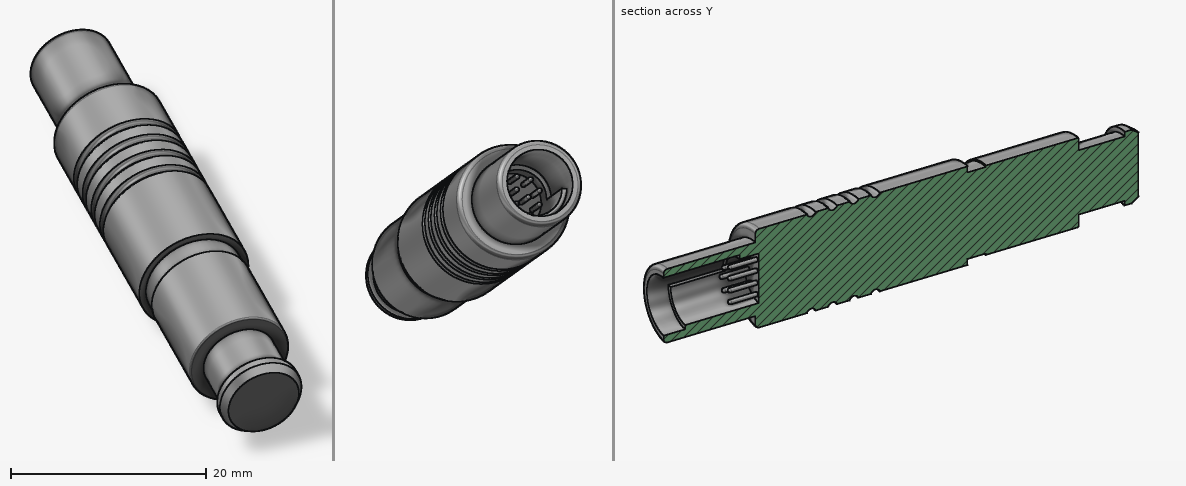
import cadquery as cq
import math

total_length = 56.0
shell_radius = 6.0

shell_start = 10.8
shell_end = 35.85
body_start = 37.95
body_end = 48.95
flange_start = 54.3

nose_radius = 4.5
neck_radius = 5.25
body_radius = 5.45
tail_radius = 3.9
flange_radius = 4.5
flange_end_radius = 3.85
flange_chamfer_length = 0.85
edge_round = 0.475
body_end_round = 0.15

groove_count = 4
groove_pitch = 2.5
first_groove_center = 17.4
groove_width = 1.0
groove_depth = 0.4

mouth_radius = 3.5
liner_radius = 2.95
lower_liner_start = 2.5
upper_liner_start = 8.95
socket_depth = 11.2

pin_radius = 0.25
pin_tip_round = 0.2
pin_length = 3.35
outer_pin_count = 9
outer_pin_circle = 2.1
outer_pin_angle = 180
inner_pin_count = 3
inner_pin_circle = 0.85
inner_pin_angle = 0

nose_x = -total_length / 2


def round_corner(profile, center_x, center_r, radius, start_angle):
    """Add a convex quarter arc that turns clockwise from start_angle (degrees)."""
    mid = math.radians(start_angle - 45)
    end = math.radians(start_angle - 90)
    return profile.threePointArc(
        (center_x + radius * math.cos(mid), center_r + radius * math.sin(mid)),
        (center_x + radius * math.cos(end), center_r + radius * math.sin(end)),
    )


def outer_body():
    """Revolve the stepped outside, grip grooves included, about the X axis."""
    profile = cq.Workplane("XY").moveTo(0, 0).lineTo(0, nose_radius - edge_round)
    profile = round_corner(profile, edge_round, nose_radius - edge_round, edge_round, 180)
    profile = profile.lineTo(shell_start, nose_radius).lineTo(shell_start, shell_radius - edge_round)
    profile = round_corner(profile, shell_start + edge_round, shell_radius - edge_round, edge_round, 180)
    for index in range(groove_count):
        center = first_groove_center + index * groove_pitch
        profile = profile.lineTo(center - groove_width / 2, shell_radius)
        profile = profile.threePointArc(
            (center, shell_radius - groove_depth),
            (center + groove_width / 2, shell_radius),
        )
    profile = profile.lineTo(shell_end, shell_radius).lineTo(shell_end, neck_radius)
    profile = profile.lineTo(body_start, neck_radius).lineTo(body_start, body_radius)
    profile = profile.lineTo(body_end - body_end_round, body_radius)
    profile = round_corner(
        profile, body_end - body_end_round, body_radius - body_end_round, body_end_round, 90
    )
    profile = profile.lineTo(body_end, tail_radius).lineTo(flange_start, tail_radius)
    profile = profile.lineTo(flange_start, flange_radius)
    profile = profile.lineTo(total_length - flange_chamfer_length, flange_radius)
    profile = profile.lineTo(total_length, flange_end_radius).lineTo(total_length, 0).close()
    return profile.revolve(360, (0, 0, 0), (1, 0, 0))


def bore(radius, depth):
    """Make a round cavity reaching from the nose end to the given depth."""
    return cq.Workplane("YZ").circle(radius).extrude(depth)


def socket():
    """Combine the liner bore with the wide mouth, which runs deeper in its upper half."""
    upper_half = cq.Workplane("XY").rect(total_length, total_length).extrude(total_length)
    upper_mouth = bore(mouth_radius, upper_liner_start).intersect(upper_half)
    mouth = bore(mouth_radius, lower_liner_start).union(upper_mouth)
    return bore(liner_radius, socket_depth).union(mouth)


def pin_ring(count, circle_radius, first_angle):
    """Place evenly spaced pins on a circle; angles run from -Y toward +Z."""
    centers = []
    for index in range(count):
        angle = math.radians(first_angle + index * 360 / count)
        centers.append((-circle_radius * math.cos(angle), circle_radius * math.sin(angle)))
    shafts = (
        cq.Workplane("YZ", origin=(socket_depth, 0, 0))
        .pushPoints(centers)
        .circle(pin_radius)
        .extrude(-pin_length)
    )
    return shafts.faces("<X").edges().fillet(pin_tip_round)


outer_pins = pin_ring(outer_pin_count, outer_pin_circle, outer_pin_angle)
inner_pins = pin_ring(inner_pin_count, inner_pin_circle, inner_pin_angle)
connector = outer_body().cut(socket()).union(outer_pins).union(inner_pins)
result = connector.translate((nose_x, 0, 0))